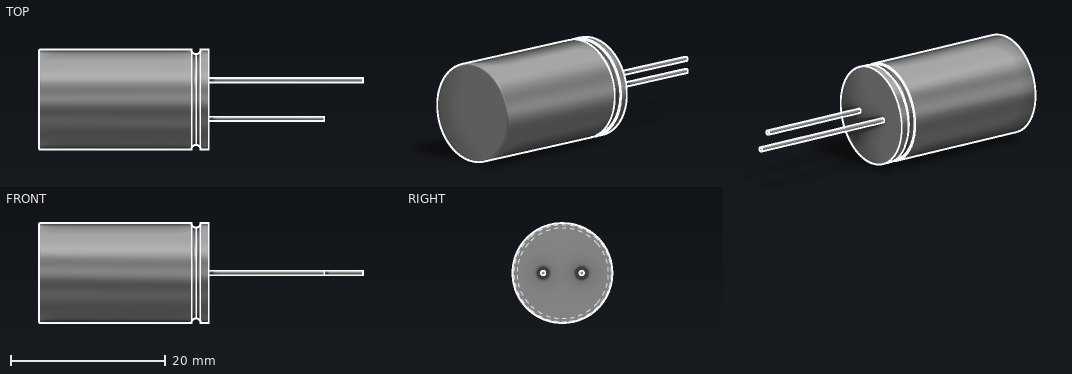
import cadquery as cq
import math

can_diameter = 13.0
total_body_length = 22.01
can_radius = can_diameter / 2
rim_fillet = 0.2

groove_width = 1.14
groove_wall_depth = 0.2
groove_depth = 0.6
base_rim_width = 1.08

lead_diameter = 0.6
lead_pitch = 5.0
long_lead_length = 20.0
short_lead_length = 15.0

groove_half_width = groove_width / 2
groove_center = -base_rim_width - groove_half_width
groove_floor_radius = can_radius - groove_depth
groove_wall_radius = can_radius - groove_wall_depth

floor_arc_rise = groove_depth - groove_wall_depth
floor_arc_radius = (groove_half_width**2 + floor_arc_rise**2) / (2 * floor_arc_rise)
half_floor_angle = math.asin(groove_half_width / floor_arc_radius)


def make_body_half(end_x):
    """Cylinder about X from the middle of the groove to end_x, with its half of the groove."""
    side = math.copysign(1, end_x - groove_center)
    wall_x = groove_center + side * groove_half_width
    arc_middle = (
        groove_center + side * floor_arc_radius * math.sin(half_floor_angle / 2),
        groove_floor_radius + floor_arc_radius * (1 - math.cos(half_floor_angle / 2)),
    )
    half_profile = (
        cq.Workplane("XY")
        .moveTo(groove_center, 0)
        .lineTo(groove_center, groove_floor_radius)
        .threePointArc(arc_middle, (wall_x, groove_wall_radius))
        .lineTo(wall_x, can_radius)
        .lineTo(end_x, can_radius)
        .lineTo(end_x, 0)
        .close()
    )
    return half_profile.revolve(360, (0, 0, 0), (1, 0, 0))


def make_can():
    """Main cylinder with a rounded closed end."""
    return make_body_half(-total_body_length).faces("<X").edges().fillet(rim_fillet)


def make_base():
    """Short disc that carries the lead face."""
    return make_body_half(0)


def make_lead(center_y, length):
    """Straight round wire standing on the lead face."""
    return cq.Workplane("YZ").center(center_y, 0).circle(lead_diameter / 2).extrude(length)


can = make_can()
base = make_base()
leads = [
    make_lead(center_y, length)
    for center_y, length in (
        (lead_pitch / 2, long_lead_length),
        (-lead_pitch / 2, short_lead_length),
    )
]

result = cq.Compound.makeCompound([can.val(), base.val(), *[lead.val() for lead in leads]])